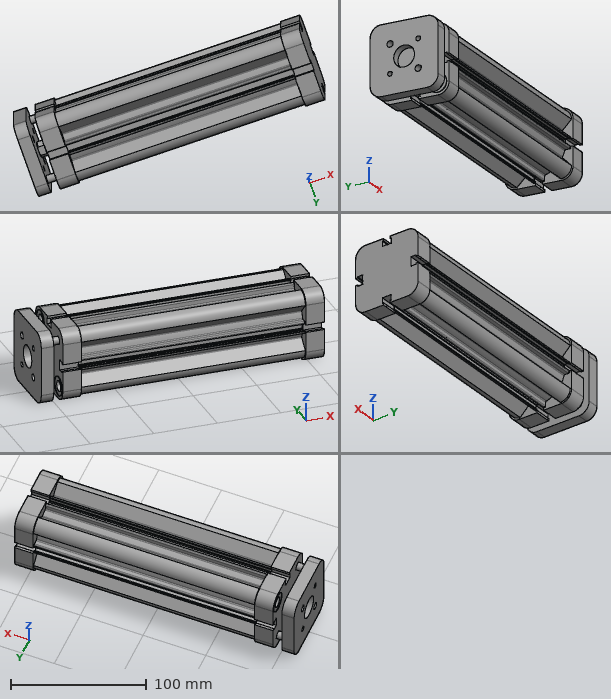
import cadquery as cq
import math

length = 223.0
width = 57.0
corner_radius = 9.4
plate_thickness = 9.8
housing_start = 17.0
cap_length = 14.7

barrel_width = 54.6
lobe_radius = 9.0
tube_radius = 22.3
groove_half_width = barrel_width / 2 - lobe_radius
root_fillet = 0.7
rib_half_width = 5.0
rib_height = 26.5
rib_fillet = 1.0

slot_mouth_width = 6.0
rib_lip = 1.1
rib_slot_width = 7.5
rib_ledge = 22.0
rib_slot_floor = 20.5
cap_lip = 2.0
cap_slot_width = 8.0
cap_slot_floor = 22.0

piston_rod_diameter = 12.0
piston_rod_flats = 10.0
piston_rod_flat_length = 5.4
piston_rod_chamfer = 0.7
guide_rod_diameter = 6.0
guide_rod_offset = 18.7

recess_diameter = 17.5
recess_depth = 6.7
plate_hole_offset = 11.8
pin_hole_diameter = 5.1
screw_hole_diameter = 3.8

mount_hole_diameter = 8.3
mount_counterbore_diameter = 15.2
mount_counterbore_depth = 0.5

half_width = width / 2
barrel_start = housing_start + cap_length
barrel_end = length - cap_length
barrel_length = barrel_end - barrel_start
rod_length = barrel_start - plate_thickness
guide_rod_places = [(-guide_rod_offset, guide_rod_offset), (guide_rod_offset, -guide_rod_offset)]
mount_hole_places = [(guide_rod_offset, guide_rod_offset), (-guide_rod_offset, -guide_rod_offset)]


def section(start):
    """Sketch plane across the part at X = start, with local axes Y and Z."""
    return cq.Workplane("YZ", origin=(start, 0, 0))


def rounded_block(start, depth, side, radius):
    return section(start).rect(side, side).extrude(depth).edges("|X").fillet(radius)


def four_sides(cutter):
    """One copy of the cutter, modelled on the +Z side, for each side."""
    return [cutter.rotate((0, 0, 0), (1, 0, 0), 90 * i) for i in range(4)]


def on_tube(y):
    return math.sqrt(tube_radius**2 - y**2)


def rounded_at(solid, y, z, radius):
    """Round the two edges along X at (+-y, z)."""
    tiny = 0.02
    for side in (-1, 1):
        box = cq.selectors.BoxSelector(
            (0, side * y - tiny, z - tiny), (length, side * y + tiny, z + tiny)
        )
        solid = solid.edges("|X").edges(box).fillet(radius)
    return solid


def side_groove():
    """Space between two corner lobes, outside the tube and the slotted rib."""
    top = barrel_width / 2
    step = top - groove_half_width
    root_y = (math.sqrt(2 * tube_radius**2 - step**2) - step) / 2
    root_z = root_y + step
    mid_y = (root_y + rib_half_width) / 2
    outline = (
        section(barrel_start)
        .moveTo(-groove_half_width, top)
        .lineTo(-root_y, root_z)
        .threePointArc((-mid_y, on_tube(mid_y)), (-rib_half_width, on_tube(rib_half_width)))
        .lineTo(-rib_half_width, rib_height)
        .lineTo(rib_half_width, rib_height)
        .lineTo(rib_half_width, on_tube(rib_half_width))
        .threePointArc((mid_y, on_tube(mid_y)), (root_y, root_z))
        .lineTo(groove_half_width, top)
        .close()
    )
    groove = outline.extrude(barrel_length)
    groove = rounded_at(groove, root_y, root_z, root_fillet)
    groove = rounded_at(groove, rib_half_width, on_tube(rib_half_width), rib_fillet)
    return rounded_at(groove, rib_half_width, rib_height, rib_fillet)


def t_slot(start, depth, top, lip, inner_width, floor):
    """T-shaped slot with its mouth at Z = top and its wide part from the lip down to the floor."""
    inner_top = top - lip
    mouth = section(start).center(0, (inner_top + top) / 2).rect(slot_mouth_width, lip)
    inner = section(start).center(0, (floor + inner_top) / 2).rect(inner_width, inner_top - floor)
    return mouth.extrude(depth).union(inner.extrude(depth))


def rib_slot():
    """T-shaped slot with a shallow groove as wide as the mouth in its floor."""
    slot = t_slot(barrel_start, barrel_length, rib_height, rib_lip, rib_slot_width, rib_ledge)
    groove = section(barrel_start).center(0, (rib_ledge + rib_slot_floor) / 2)
    groove = groove.rect(slot_mouth_width, rib_ledge - rib_slot_floor).extrude(barrel_length)
    return slot.union(groove)


def make_plate():
    plate = rounded_block(0, plate_thickness, width, corner_radius)
    recess = section(0).circle(recess_diameter / 2).extrude(recess_depth)
    plate = plate.cut(recess)
    p = plate_hole_offset
    pins = section(0).pushPoints([(p, p), (-p, -p)]).circle(pin_hole_diameter / 2)
    screws = section(0).pushPoints([(p, -p), (-p, p)]).circle(screw_hole_diameter / 2)
    return plate.cut(pins.extrude(plate_thickness)).cut(screws.extrude(plate_thickness))


def make_housing():
    housing = rounded_block(barrel_start, barrel_length, barrel_width, lobe_radius)
    for groove in four_sides(side_groove()):
        housing = housing.cut(groove)
    for cutter in four_sides(rib_slot()):
        housing = housing.cut(cutter)
    for start in (housing_start, barrel_end):
        cap = rounded_block(start, cap_length, width, corner_radius)
        slot = t_slot(start, cap_length, half_width, cap_lip, cap_slot_width, cap_slot_floor)
        for cutter in four_sides(slot):
            cap = cap.cut(cutter)
        housing = housing.union(cap)
    bore = section(housing_start).circle(piston_rod_diameter / 2).extrude(cap_length)
    guides = section(housing_start).pushPoints(guide_rod_places).circle(guide_rod_diameter / 2)
    housing = housing.cut(bore).cut(guides.extrude(cap_length))
    mounts = section(housing_start).pushPoints(mount_hole_places)
    housing = housing.cut(mounts.circle(mount_hole_diameter / 2).extrude(cap_length))
    counterbores = section(housing_start).pushPoints(mount_hole_places)
    counterbores = counterbores.circle(mount_counterbore_diameter / 2)
    return housing.cut(counterbores.extrude(mount_counterbore_depth))


def make_piston_rod():
    """Rod with a chamfered front end and two wrench flats facing +Z and -Z."""
    rod = section(plate_thickness).circle(piston_rod_diameter / 2).extrude(rod_length)
    rod = rod.faces("<X").chamfer(piston_rod_chamfer)
    end = section(plate_thickness).rect(piston_rod_diameter, piston_rod_diameter)
    end = end.rect(piston_rod_diameter, piston_rod_flats).extrude(piston_rod_flat_length)
    return rod.cut(end)


def make_guide_rod(y, z):
    return section(plate_thickness).center(y, z).circle(guide_rod_diameter / 2).extrude(rod_length)


plate = make_plate()
housing = make_housing()
piston_rod = make_piston_rod()
guide_rods = [make_guide_rod(y, z) for y, z in guide_rod_places]

result = cq.Compound.makeCompound(
    [plate.val(), housing.val(), piston_rod.val(), *[rod.val() for rod in guide_rods]]
)